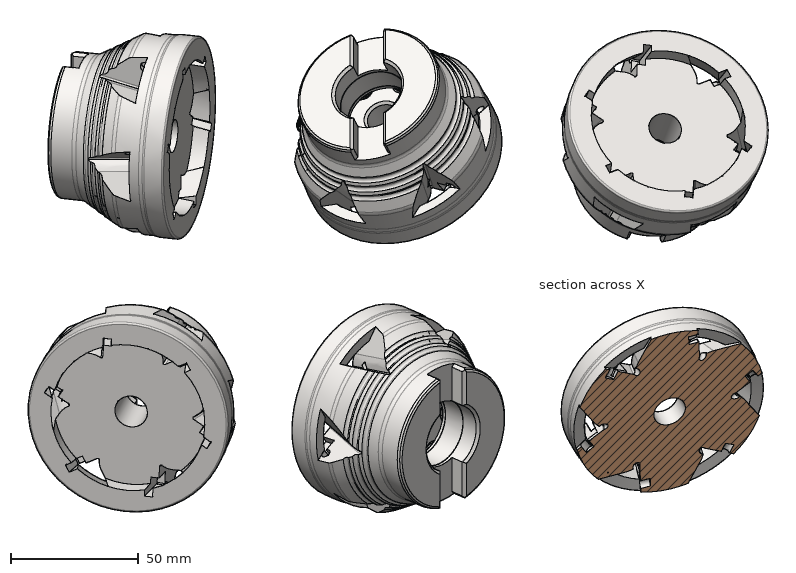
import cadquery as cq
import math

LENGTH = 50.0
FLANGE_RADIUS = 40.0
BODY_RADIUS = 39.6
HUB_RADIUS = 29.0

HUB_FACE_RADIUS = 27.8
RIM_BEVEL_LENGTH = 0.6
RIM_BEVEL_RADIUS = 28.6
RIM_LENGTH = 1.5

CONE_START = 10.0
CONE_ANGLE = 30.0
CONE_BLEND_RADIUS = 3.5
GROOVE_COUNT = 3
GROOVE_START = 15.4
GROOVE_PITCH = 3.4
GROOVE_FLAT = 0.7
GROOVE_LENGTH = 2.2
SHOULDER_BLEND_LENGTH = 1.6

FLANGE_STEP_START = 39.9
FLANGE_STEP_END = 41.4
FLANGE_STEP_RADIUS = 39.8
FLANGE_START = 42.2
FLANGE_EDGE_ROUND = 0.7

SLOT_DEPTH = 7.0
SLOT_WIDTH = 12.2
SLOT_CHAMFER = 1.2

BORE_RADIUS = 13.6
BORE_DEPTH = 20.0
BORE_CHAMFER = 1.1
RELIEF_RADIUS = 13.8
RELIEF_START = 8.6
RELIEF_END = 18.6
HOLE_RADIUS = 6.5
HOLE_CHAMFER = 1.0

RECESS_DEPTH = 6.5
RECESS_RADIUS = 30.7

POCKET_COUNT = 6
POCKET_END = 36.1
POCKET_REACH = 24.0
POCKET_SLOPE = 17.5
POCKET_DRIFT = 1.0
UNDERCUT_DEPTH = 1.0
UNDERCUT_RADIUS = 34.8
WALL_TOP = (44.9, 12.7)
WALL_FOOT = (27.4, 1.5)
VALLEY_MIDDLE = (27.0, 1.0)
VALLEY_EDGE = (27.1, 0.6)
FLANK_FOOT = (31.0, -2.9)
FLANK_TOP = (40.6, -18.2)

SCREW_RADIUS = 1.8
SCREW_DEPTH = 4.0
SCREW_X = 35.2
SCREW_DISTANCE_ON_WALL = 9.0

SEAT_X = 36.3
SEAT_DISTANCE_ON_WALL = 5.6
SEAT_WIDTH = 5.6
SEAT_DEPTH = 3.2

COOLANT_RADIUS = 1.3
COOLANT_START = (21.2, 13.6)
COOLANT_END = (POCKET_END, 28.8)
NOTCH_RADIUS = 5.6
NOTCH_INNER = 12.2


def turned(sketch):
    """Close an outline drawn as (x, radius) and revolve it about the X axis."""
    return sketch.close().revolve(360, (0, 0, 0), (1, 0, 0))


def body():
    angle = math.radians(CONE_ANGLE)
    slope = math.tan(angle)
    blend_end = CONE_START + CONE_BLEND_RADIUS * math.sin(angle)
    blend_rise = CONE_BLEND_RADIUS * (1 - math.cos(angle))

    def cone_radius(x):
        return HUB_RADIUS + blend_rise + slope * (x - blend_end)

    profile = (
        cq.Workplane("XY")
        .lineTo(0, HUB_FACE_RADIUS)
        .lineTo(RIM_BEVEL_LENGTH, RIM_BEVEL_RADIUS)
        .lineTo(RIM_LENGTH, HUB_RADIUS)
        .lineTo(CONE_START, HUB_RADIUS)
        .tangentArcPoint((blend_end, HUB_RADIUS + blend_rise), relative=False)
    )
    for i in range(GROOVE_COUNT):
        start = GROOVE_START + i * GROOVE_PITCH
        end = start + GROOVE_LENGTH
        profile = (
            profile.lineTo(start, cone_radius(start))
            .lineTo(start + GROOVE_FLAT, cone_radius(start))
            .tangentArcPoint((end, cone_radius(end)), relative=False)
        )
    corner = blend_end + (BODY_RADIUS - cone_radius(blend_end)) / slope
    shoulder_start = corner - SHOULDER_BLEND_LENGTH * math.cos(angle) / (1 + math.cos(angle))
    shoulder_end = shoulder_start + SHOULDER_BLEND_LENGTH
    profile = (
        profile.lineTo(shoulder_start, cone_radius(shoulder_start))
        .tangentArcPoint((shoulder_end, BODY_RADIUS), relative=False)
        .lineTo(FLANGE_STEP_START, BODY_RADIUS)
        .lineTo(FLANGE_STEP_END, FLANGE_STEP_RADIUS)
        .lineTo(FLANGE_START, FLANGE_RADIUS)
        .lineTo(LENGTH - FLANGE_EDGE_ROUND, FLANGE_RADIUS)
        .tangentArcPoint((LENGTH, FLANGE_RADIUS - FLANGE_EDGE_ROUND), relative=False)
        .lineTo(LENGTH, 0)
    )
    return turned(profile)


def bore():
    return turned(
        cq.Workplane("XY")
        .lineTo(0, BORE_RADIUS + BORE_CHAMFER)
        .lineTo(BORE_CHAMFER, BORE_RADIUS)
        .lineTo(RELIEF_START, BORE_RADIUS)
        .lineTo(RELIEF_START, RELIEF_RADIUS)
        .lineTo(RELIEF_END, RELIEF_RADIUS)
        .lineTo(RELIEF_END, BORE_RADIUS)
        .lineTo(BORE_DEPTH, BORE_RADIUS)
        .lineTo(BORE_DEPTH, HOLE_RADIUS + HOLE_CHAMFER)
        .lineTo(BORE_DEPTH + HOLE_CHAMFER, HOLE_RADIUS)
        .lineTo(LENGTH, HOLE_RADIUS)
        .lineTo(LENGTH, 0)
    )


def drive_slot():
    half = SLOT_WIDTH / 2
    flared_half = half + SLOT_CHAMFER
    slot = (
        cq.Workplane("XY")
        .moveTo(0, flared_half)
        .lineTo(SLOT_CHAMFER, half)
        .lineTo(SLOT_DEPTH, half)
        .lineTo(SLOT_DEPTH, -half)
        .lineTo(SLOT_CHAMFER, -half)
        .lineTo(0, -flared_half)
        .close()
        .extrude(FLANGE_RADIUS, both=True)
    )
    flare_end = math.sqrt(HUB_RADIUS**2 - flared_half**2)
    flare = (
        cq.Workplane("YZ")
        .moveTo(half, flare_end - SLOT_CHAMFER)
        .lineTo(half + HUB_RADIUS, flare_end - SLOT_CHAMFER + HUB_RADIUS)
        .lineTo(-half - HUB_RADIUS, flare_end - SLOT_CHAMFER + HUB_RADIUS)
        .lineTo(-half, flare_end - SLOT_CHAMFER)
        .close()
        .extrude(SLOT_DEPTH)
    )
    return slot.union(flare).union(flare.mirror("XY"))


def recess():
    floor = cq.Workplane("YZ", origin=(LENGTH - RECESS_DEPTH, 0, 0))
    return floor.circle(RECESS_RADIUS).extrude(RECESS_DEPTH)


def pocket_limit():
    """Space the pockets may occupy: open outward up to the undercut ring, then narrowing inside it."""
    return turned(
        cq.Workplane("XY")
        .lineTo(0, 2 * FLANGE_RADIUS)
        .lineTo(POCKET_END, 2 * FLANGE_RADIUS)
        .lineTo(POCKET_END, BODY_RADIUS)
        .lineTo(POCKET_END + UNDERCUT_DEPTH, UNDERCUT_RADIUS)
        .lineTo(LENGTH, RECESS_RADIUS)
        .lineTo(LENGTH, 0)
    )


def pocket_direction():
    """Run of the pocket per unit of X: sinking toward the axis and drifting slightly down."""
    return cq.Vector(1, math.tan(math.radians(POCKET_SLOPE)), -math.tan(math.radians(POCKET_DRIFT)))


def pocket():
    per_x = pocket_direction()
    start = per_x * -POCKET_REACH

    def section_point(point):
        return cq.Vector(POCKET_END, -point[0], point[1]) + start

    foot, middle, edge = (section_point(p) for p in (WALL_FOOT, VALLEY_MIDDLE, VALLEY_EDGE))
    flank_foot, flank_top, wall_top = (section_point(p) for p in (FLANK_FOOT, FLANK_TOP, WALL_TOP))
    flank_direction = flank_foot - flank_top
    outline = cq.Wire.assembleEdges(
        [
            cq.Edge.makeLine(wall_top, foot),
            cq.Edge.makeThreePointArc(foot, middle, edge),
            cq.Edge.makeTangentArc(flank_foot, flank_direction, edge),
            cq.Edge.makeLine(flank_foot, flank_top),
            cq.Edge.makeLine(flank_top, wall_top),
        ]
    )
    run = per_x * (POCKET_REACH + LENGTH - POCKET_END)
    return cq.Workplane(cq.Solid.extrudeLinear(outline, [], run)).intersect(pocket_limit())


def wall_plane(x, distance):
    """Plane on the upper pocket wall: local X climbs the wall and the normal points into the part."""
    up_wall = cq.Vector(0, WALL_FOOT[0] - WALL_TOP[0], WALL_TOP[1] - WALL_FOOT[1]).normalized()
    into_wall = up_wall.cross(pocket_direction())
    foot = cq.Vector(POCKET_END, -WALL_FOOT[0], WALL_FOOT[1]) + pocket_direction() * (x - POCKET_END)
    return cq.Plane(origin=foot + up_wall * distance, xDir=up_wall, normal=into_wall)


def screw_hole():
    plane = wall_plane(SCREW_X, SCREW_DISTANCE_ON_WALL)
    return cq.Workplane(plane).circle(SCREW_RADIUS).extrude(SCREW_DEPTH)


def insert_seat():
    plane = wall_plane(SEAT_X, SEAT_DISTANCE_ON_WALL)
    length = LENGTH - SEAT_X
    return cq.Workplane(plane).center(0, length).rect(SEAT_WIDTH, 2 * length).extrude(SEAT_DEPTH)


def coolant_duct():
    start = cq.Vector(COOLANT_START[0], -COOLANT_START[1], 0)
    run = cq.Vector(COOLANT_END[0], -COOLANT_END[1], 0) - start
    return cq.Workplane(cq.Solid.makeCylinder(COOLANT_RADIUS, run.Length, start, run))


def coolant_notch():
    """Crescent in the bore floor, cut by a cylinder parallel to the duct but kept inside the bore."""
    run_x = COOLANT_END[0] - COOLANT_START[0]
    run_out = COOLANT_END[1] - COOLANT_START[1]
    centre_out = NOTCH_INNER + NOTCH_RADIUS * math.hypot(run_x, run_out) / run_x
    direction = cq.Vector(run_x, -run_out, 0)
    start = cq.Vector(BORE_DEPTH, -centre_out, 0) - direction
    cutter = cq.Solid.makeCylinder(NOTCH_RADIUS, 2 * direction.Length, start, direction)
    bore_end = cq.Workplane("YZ", origin=(BORE_DEPTH, 0, 0)).circle(RELIEF_RADIUS).extrude(BORE_RADIUS)
    return bore_end.intersect(cq.Workplane(cutter))


result = body().cut(bore()).cut(drive_slot()).cut(recess())
for feature in (coolant_notch(), pocket(), screw_hole(), insert_seat(), coolant_duct()):
    for i in range(POCKET_COUNT):
        turn = i * 360 / POCKET_COUNT
        result = result.cut(feature.rotate((0, 0, 0), (1, 0, 0), turn))